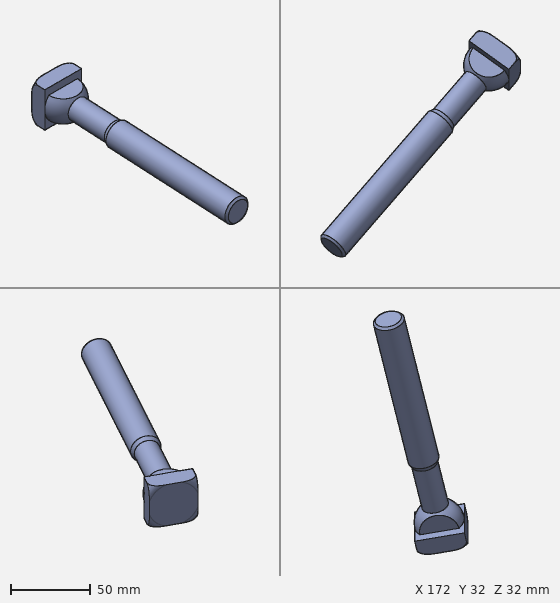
import cadquery as cq
import math

total_length = 172.0
head_width = 32.0
head_thickness = 12.0
head_corner_radius = 5.8
shank_diameter = 20.0
neck_diameter = 17.0
neck_end = 58.7
taper_length = 3.1
end_chamfer = 1.5

dome_radius = head_width / 2
shank_radius = shank_diameter / 2
neck_radius = neck_diameter / 2
head_corner_reach = head_width / math.sqrt(2)


def make_head():
    """Square head whose outer corners are rounded by a turned profile."""
    block = cq.Workplane("YZ").rect(head_width, head_width).extrude(head_thickness)
    rounded_disc = (
        cq.Workplane("YZ")
        .circle(head_corner_reach)
        .extrude(head_thickness)
        .faces("<X")
        .edges()
        .fillet(head_corner_radius)
    )
    return block.intersect(rounded_disc)


def make_collar():
    """Half ball behind the head, with flats as far apart as the shank diameter."""
    ball = cq.Workplane("XY").sphere(dome_radius).translate((head_thickness, 0, 0))
    slab = (
        cq.Workplane("XY")
        .box(dome_radius, head_width, shank_diameter, centered=(False, True, True))
        .translate((head_thickness, 0, 0))
    )
    return ball.intersect(slab)


def make_shank():
    """Neck, taper and plain shank turned about the X axis."""
    profile = (
        cq.Workplane("XY")
        .moveTo(head_thickness, 0)
        .lineTo(head_thickness, neck_radius)
        .lineTo(neck_end, neck_radius)
        .lineTo(neck_end + taper_length, shank_radius)
        .lineTo(total_length - end_chamfer, shank_radius)
        .lineTo(total_length, shank_radius - end_chamfer)
        .lineTo(total_length, 0)
        .close()
    )
    return profile.revolve(360, (0, 0, 0), (1, 0, 0))


result = make_head().union(make_collar()).union(make_shank())